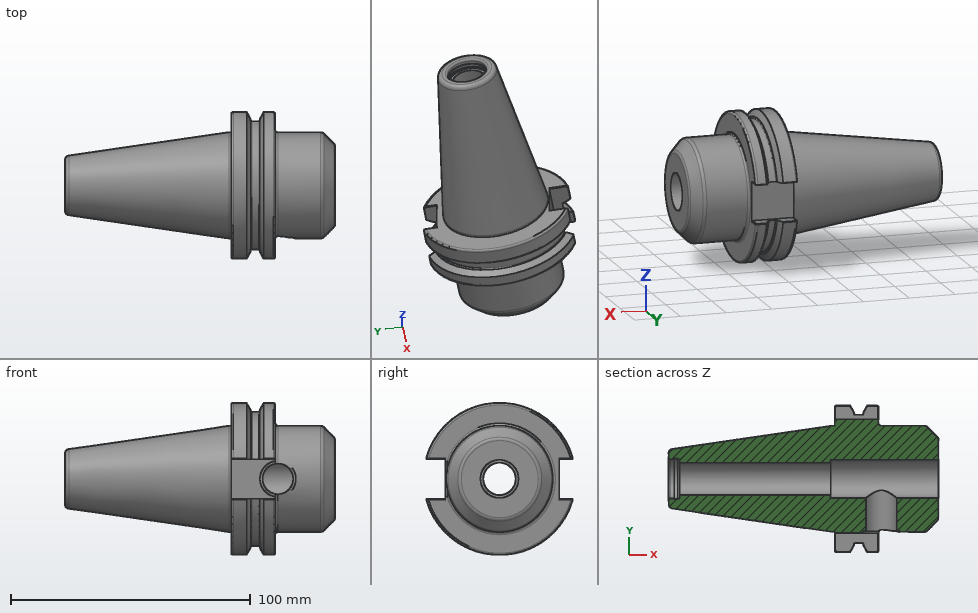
import cadquery as cq
import math

total_length = 112.7
taper_length = 68.3
flange_start = 69.3
flange_end = 87.7

body_radius = 44.4 / 2
taper_slope = 7 / 48
small_end_radius = body_radius - taper_slope * taper_length
end_rounding = 2.0

flange_radius = 31.8
flange_rim_rounding = 0.9
groove_center = 79.3
groove_floor_width = 3.8
groove_floor_radius = 28.1
groove_wall_height = 0.8
groove_side_angle = 30
groove_corner_rounding = 0.5
flange_root_rounding = 1.0

nose_chamfer = 5.3

slot_width = 16.6
front_slot_floor = 22.7
back_slot_floor = 24.9
slot_edge_chamfer = 0.3

passage_diameter = 13.4
tool_bore_diameter = 15.9
tool_bore_depth = 45.1
socket_diameter = 16.3
socket_depth = 4.7
socket_mouth_rounding = 0.9
relief_diameter = 16.8
relief_start = 2.5
relief_end = 4.0

screw_x = 88.8
screw_diameter = 12.7
spot_face_diameter = 15.0
spot_face_floor = 21.8

near = 0.01


def cylinder_along_x(diameter, start, end):
    return cq.Workplane("YZ").workplane(offset=start).circle(diameter / 2).extrude(end - start)


def cylinder_from_front(diameter, inner_distance):
    """Cylinder along Y at the screw position, from inner_distance outward past the flange."""
    return (
        cq.Workplane("XZ", origin=(screw_x, 0, 0))
        .workplane(offset=inner_distance)
        .circle(diameter / 2)
        .extrude(flange_radius)
    )


def round_rim(body, x, radius, rounding):
    """Round the circular edge that lies around the X axis at x."""
    rims = [
        edge
        for edge in body.edges("%CIRCLE").vals()
        if abs(edge.Center().x - x) < near and abs(edge.radius() - radius) < near
    ]
    return body.newObject(rims).fillet(rounding)


def turned_body():
    profile = [
        (0, 0),
        (0, small_end_radius),
        (taper_length, body_radius),
        (flange_start, body_radius),
        (flange_start, flange_radius),
        (flange_end, flange_radius),
        (flange_end, body_radius),
        (total_length - nose_chamfer, body_radius),
        (total_length, body_radius - nose_chamfer),
        (total_length, 0),
    ]
    body = cq.Workplane("XY").polyline(profile).close().revolve(360, (0, 0, 0), (1, 0, 0))

    rounded_edges = [
        (0, small_end_radius, end_rounding),
        (flange_start, flange_radius, flange_rim_rounding),
        (flange_end, flange_radius, flange_rim_rounding),
        (flange_end, body_radius, flange_root_rounding),
        (total_length - nose_chamfer, body_radius, end_rounding),
        (total_length, body_radius - nose_chamfer, end_rounding),
    ]
    for x, radius, rounding in rounded_edges:
        body = round_rim(body, x, radius, rounding)
    return body


def gripper_groove():
    half_floor = groove_floor_width / 2
    wall_top = groove_floor_radius + groove_wall_height
    half_mouth = half_floor + (flange_radius - wall_top) * math.tan(math.radians(groove_side_angle))
    corner = groove_corner_rounding
    diagonal = corner * (1 - math.sqrt(0.5))
    return (
        cq.Workplane("XY", origin=(groove_center, 0, 0))
        .moveTo(-half_mouth, flange_radius)
        .lineTo(-half_floor, wall_top)
        .lineTo(-half_floor, groove_floor_radius + corner)
        .threePointArc(
            (-half_floor + diagonal, groove_floor_radius + diagonal),
            (-half_floor + corner, groove_floor_radius),
        )
        .lineTo(half_floor - corner, groove_floor_radius)
        .threePointArc(
            (half_floor - diagonal, groove_floor_radius + diagonal),
            (half_floor, groove_floor_radius + corner),
        )
        .lineTo(half_floor, wall_top)
        .lineTo(half_mouth, flange_radius)
        .close()
        .revolve(360, (0, 0, 0), (1, 0, 0))
    )


def cut_drive_slot(body, floor_distance, side):
    """Slot through the flange along X; side is -1 for -Y and +1 for +Y."""
    cutter = (
        cq.Workplane("XY")
        .box(total_length - taper_length, flange_radius, slot_width, centered=(False, True, True))
        .translate((taper_length, side * (floor_distance + flange_radius / 2), 0))
    )
    body = body.cut(cutter)

    wall_edges = []
    for wall_z in (-slot_width / 2, slot_width / 2):
        for edge in body.edges().vals():
            box = edge.BoundingBox()
            on_wall = abs(box.zmin - wall_z) < near and abs(box.zmax - wall_z) < near
            above_floor = max(side * box.ymin, side * box.ymax) > floor_distance + near
            if on_wall and above_floor:
                wall_edges.append(edge)
    return body.newObject(wall_edges).chamfer(slot_edge_chamfer)


def drawbar_socket():
    socket = cylinder_along_x(socket_diameter, 0, socket_depth)
    relief = cylinder_along_x(relief_diameter, relief_start, relief_end)
    return socket.union(relief)


result = turned_body()
result = cut_drive_slot(result, front_slot_floor, -1)
result = cut_drive_slot(result, back_slot_floor, 1)
result = result.cut(gripper_groove())
result = result.cut(cylinder_along_x(passage_diameter, 0, total_length))
result = result.cut(cylinder_along_x(tool_bore_diameter, total_length - tool_bore_depth, total_length))
result = result.cut(drawbar_socket())
result = round_rim(result, 0, socket_diameter / 2, socket_mouth_rounding)
result = result.cut(cylinder_from_front(screw_diameter, 0))
result = result.cut(cylinder_from_front(spot_face_diameter, spot_face_floor))